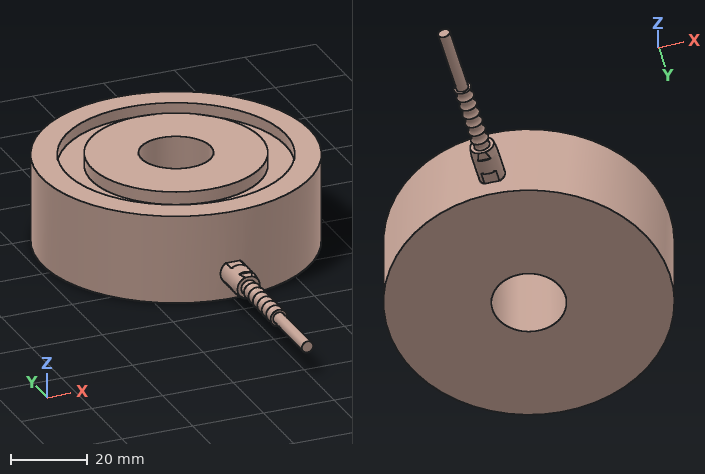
import cadquery as cq

body_diameter = 75.7
body_height = 25.0
bore_diameter = 19.5
boss_diameter = 47.8
boss_rise = 0.4
recess_diameter = 61.8
recess_depth = 3.3

total_length = 125.2
outlet_height = 7.6
gland_diameter = 7.0
gland_root_depth = 2.5
gland_straight_length = 8.0
gland_length = 10.4
gland_end_diameter = 6.4
wrench_flat_length = 3.5
wrench_flat_gap = 5.8
end_flat_gap = 6.1
sleeve_diameter = 4.8
groove_diameter = 3.9
groove_count = 7
first_crest = 12.8
sleeve_end = 30.4
cable_diameter = 3.3

body_radius = body_diameter / 2
cable_end = total_length - body_diameter
groove_pitch = (sleeve_end - first_crest) / (groove_count - 1)


def ring_body():
    """Ring with an annular recess around a slightly raised central boss."""
    body = cq.Workplane("XY").circle(body_radius).extrude(body_height)
    boss = cq.Workplane("XY").circle(boss_diameter / 2).extrude(body_height + boss_rise)
    recess_floor = body_height - recess_depth
    recess = (
        cq.Workplane("XY", origin=(0, 0, recess_floor))
        .circle(recess_diameter / 2)
        .extrude(recess_depth)
    )
    return body.cut(recess).union(boss)


def turned(profile):
    """Revolve a closed (radius, Y) profile around the outlet axis."""
    solid = profile.close().revolve(360, (0, 0, 0), (0, 1, 0))
    return solid.translate((0, 0, outlet_height))


def outlet_y(distance):
    """Y position at a distance outside the body surface."""
    return -body_radius - distance


def flats(gap, start, end):
    """Slabs above and below the outlet that leave the gland a height of gap between two distances."""
    slab_height = gland_diameter
    slab_offset = (gap + slab_height) / 2
    slab_y = outlet_y((start + end) / 2)
    return (
        cq.Workplane("XY")
        .pushPoints([(0, slab_y, outlet_height + slab_offset), (0, slab_y, outlet_height - slab_offset)])
        .box(gland_diameter, end - start, slab_height)
    )


def gland():
    """Gland with wrench flats at the body and a flatted cone at its outer end."""
    profile = (
        cq.Workplane("XY")
        .moveTo(0, outlet_y(-gland_root_depth))
        .lineTo(gland_diameter / 2, outlet_y(-gland_root_depth))
        .lineTo(gland_diameter / 2, outlet_y(gland_straight_length))
        .lineTo(gland_end_diameter / 2, outlet_y(gland_length))
        .lineTo(0, outlet_y(gland_length))
    )
    wrench_flats = flats(wrench_flat_gap, -gland_root_depth, wrench_flat_length)
    end_flats = flats(end_flat_gap, gland_straight_length, gland_length)
    return turned(profile).cut(wrench_flats).cut(end_flats)


def sleeve():
    """Bend relief with a row of round-bottomed grooves meeting in sharp crests."""
    crest = sleeve_diameter / 2
    valley = groove_diameter / 2
    distance = first_crest - groove_pitch
    profile = cq.Workplane("XY").moveTo(0, outlet_y(distance)).lineTo(crest, outlet_y(distance))
    for _ in range(groove_count):
        middle = (valley, outlet_y(distance + groove_pitch / 2))
        distance += groove_pitch
        profile = profile.threePointArc(middle, (crest, outlet_y(distance)))
    return turned(profile.lineTo(0, outlet_y(distance)))


def cable():
    """Plain round cable running out of the sleeve."""
    return (
        cq.Workplane("XZ", origin=(0, outlet_y(0), outlet_height))
        .circle(cable_diameter / 2)
        .extrude(cable_end)
    )


bore = cq.Workplane("XY").circle(bore_diameter / 2).extrude(body_height + boss_rise)
result = ring_body().union(gland()).union(sleeve()).union(cable()).cut(bore)